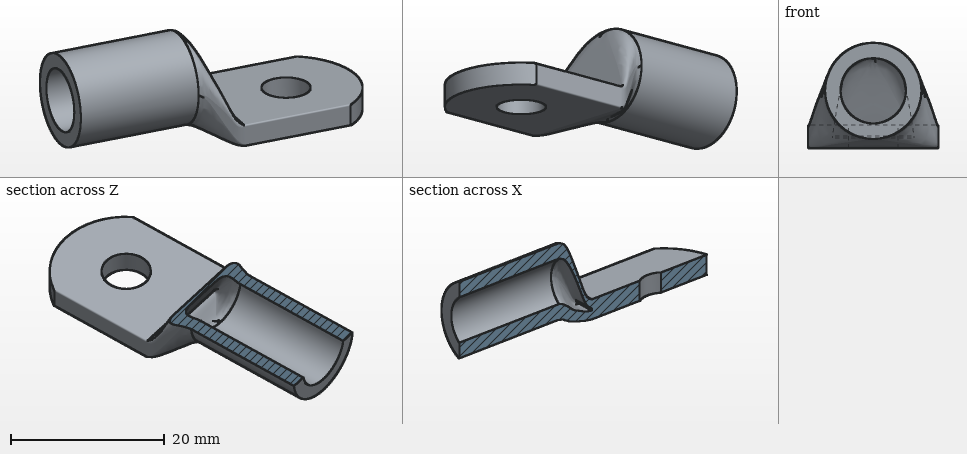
import cadquery as cq

total_length = 42.5
palm_width = 17.0
palm_thickness = 3.0
palm_length = 19.98
palm_edge_round = 0.2
tip_radius = 10.0
bolt_hole_diameter = 6.4
barrel_diameter = 12.55
barrel_length = 16.95
bore_diameter = 8.5
overall_height = 13.75
slit_width = 10.62
slit_thickness = 0.25
slit_corner = 0.065

tip_y = total_length / 2
bolt_hole_y = tip_y - tip_radius
palm_start_y = tip_y - palm_length
barrel_front_y = -total_length / 2
barrel_end_y = barrel_front_y + barrel_length
neck_length = palm_start_y - barrel_end_y
barrel_axis_z = overall_height - barrel_diameter / 2

neck_stations = [(0.0, 0.0), (0.12, 0.05), (0.3, 0.25), (0.5, 0.53), (0.75, 0.85), (1.0, 1.0)]
arc_share = 0.995
rounding_lead = 0.4


def blend(flat, rounded, amount):
    return flat + (rounded - flat) * amount


def xz_plane(y, z=0.0):
    """Section plane whose local axes are X and Z and whose normal is -Y."""
    return cq.Plane(origin=(0, y, z), xDir=(1, 0, 0), normal=(0, -1, 0))


def neck_section(y, amount, width, thickness, corner, diameter):
    """Rounded rectangle that turns from a flat section into a near circle."""
    z = blend(palm_thickness / 2, barrel_axis_z, amount)
    corner_share = corner / (thickness / 2)
    section_width = blend(width, diameter, amount)
    section_height = blend(thickness, diameter, amount)
    corner_radius = section_height / 2 * blend(corner_share, arc_share, amount**rounding_lead)
    outline = cq.Workplane(xz_plane(y, z)).rect(section_width, section_height).val()
    return outline.fillet2D(corner_radius, outline.Vertices())


def neck(width, thickness, corner, diameter):
    sections = [
        neck_section(palm_start_y - fraction * neck_length, amount, width, thickness, corner, diameter)
        for fraction, amount in neck_stations
    ]
    return cq.Workplane(cq.Solid.makeLoft(sections))


def cylinder_along_barrel(diameter):
    return (
        cq.Workplane(xz_plane(barrel_front_y, barrel_axis_z))
        .circle(diameter / 2)
        .extrude(-barrel_length)
    )


def palm():
    blank = (
        cq.Workplane("XY")
        .center(0, palm_start_y + palm_length / 2)
        .rect(palm_width, palm_length)
        .extrude(palm_thickness)
        .edges("|Y")
        .fillet(palm_edge_round)
    )
    tip_disc = cq.Workplane("XY").center(0, bolt_hole_y).circle(tip_radius).extrude(palm_thickness)
    straight_part = (
        cq.Workplane("XY")
        .center(0, (palm_start_y + bolt_hole_y) / 2)
        .rect(palm_width, bolt_hole_y - palm_start_y)
        .extrude(palm_thickness)
    )
    return blank.intersect(tip_disc.union(straight_part))


bolt_hole = (
    cq.Workplane("XY").center(0, bolt_hole_y).circle(bolt_hole_diameter / 2).extrude(palm_thickness)
)
outside = palm().union(neck(palm_width, palm_thickness, palm_edge_round, barrel_diameter))
outside = outside.union(cylinder_along_barrel(barrel_diameter))

cavity_neck = neck(slit_width, slit_thickness, slit_corner, bore_diameter)
cavity = cylinder_along_barrel(bore_diameter).union(cavity_neck)
lug = outside.cut(bolt_hole).cut(cavity)
result = cq.Workplane(lug.solids().val())